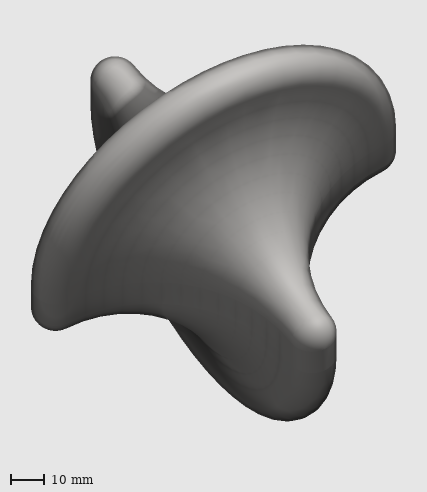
import cadquery as cq
import math

height = 136.8
width = 126.3
tip_radius = 7.4

reach = width / 2
band_height = height - width
tip_center = reach - tip_radius
flank_radius = tip_center - tip_radius
flank_mid = tip_center - flank_radius * math.sqrt(0.5)
tip_mid = tip_radius * math.sqrt(0.5)


def half_star(plane):
    """Half of the four-armed star, with its straight side on the plane's local X axis."""
    return (
        cq.Workplane(plane)
        .moveTo(-reach, 0)
        .threePointArc((-tip_center - tip_mid, tip_mid), (-tip_center, tip_radius))
        .threePointArc((-flank_mid, flank_mid), (-tip_radius, tip_center))
        .threePointArc((0, reach), (tip_radius, tip_center))
        .threePointArc((flank_mid, flank_mid), (tip_center, tip_radius))
        .threePointArc((tip_center + tip_mid, tip_mid), (reach, 0))
        .close()
    )


def half_spinner():
    """Half star swept half a turn about X: a disc in the YZ plane, rising above Z = 0."""
    return half_star("XY").revolve(180, (0, 0, 0), (1, 0, 0))


def star_band():
    """Straight prism with the full star section, centred on Z = 0."""
    half = half_star("XY").extrude(band_height / 2, both=True)
    return half.union(half.mirror("XZ"))


upper = half_spinner().translate((0, 0, band_height / 2))
lower = upper.mirror("XY").rotate((0, 0, 0), (0, 0, 1), 90)

result = star_band().union(upper).union(lower)